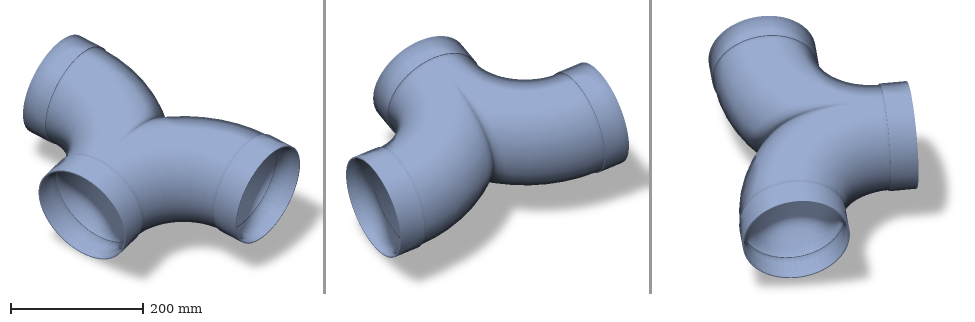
import cadquery as cq

overall_width = 400.0
overall_depth = 283.5
collar_outer_diameter = 163.5
pipe_outer_diameter = 160.0
pipe_bore_diameter = 156.5
collar_bore_diameter = 159.5
outlet_collar_length = 41.5
bend_radius = 160.0

outlet_y = bend_radius
inlet_collar_length = overall_depth - outlet_y - collar_outer_diameter / 2

outlet_collar_start = overall_width / 2 - outlet_collar_length


def cylinder(plane, diameter, length):
    return cq.Workplane(plane).circle(diameter / 2).extrude(length)


inlet_plane = cq.Plane(origin=(0, 0, 0), xDir=(1, 0, 0), normal=(0, -1, 0))


def outlet_plane(side):
    """Plane across the start of an outlet collar, facing outward."""
    return cq.Plane(origin=(side * outlet_collar_start, outlet_y, 0), xDir=(0, 1, 0), normal=(side, 0, 0))


def elbow(side, diameter):
    """Solid quarter torus from the inlet to one outlet."""
    return (
        cq.Workplane(inlet_plane)
        .circle(diameter / 2)
        .revolve(90, (side * bend_radius, 0, 0), (side * bend_radius, -side, 0))
    )


def branched_pipe(diameter):
    """Both elbows, joined into one solid body."""
    half_space = cq.Workplane("XY").box(
        overall_width, 2 * overall_depth, overall_width, centered=(False, True, True)
    )
    right = elbow(1, diameter).intersect(half_space)
    left = right.mirror("YZ")
    return right.union(left)


def collars(diameter):
    """Cylinders at the three pipe ends."""
    inlet = cylinder(inlet_plane, diameter, inlet_collar_length)
    left = cylinder(outlet_plane(-1), diameter, outlet_collar_length)
    right = cylinder(outlet_plane(1), diameter, outlet_collar_length)
    return inlet.union(left).union(right)


outside = branched_pipe(pipe_outer_diameter).union(collars(collar_outer_diameter))
result = outside.cut(branched_pipe(pipe_bore_diameter)).cut(collars(collar_bore_diameter))